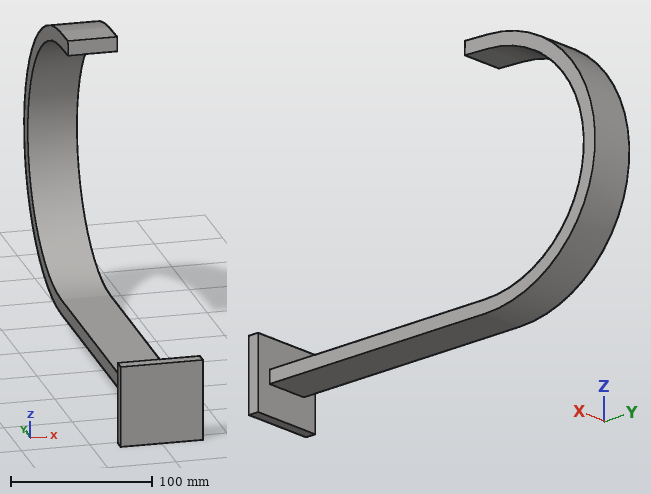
import cadquery as cq
import math

plate_side = 60.0
plate_thickness = 9.0

bar_width = 36.0
bar_thickness = 11.0
overall_depth = 321.3
overall_height = 236.0
tip_length = 23.0
tip_rise_angle = 2.0

leg_bottom = -bar_thickness / 2
rise = math.radians(tip_rise_angle)
tip_corner_z = overall_height - plate_side / 2
outer_radius = (tip_corner_z - leg_bottom - tip_length * math.sin(rise)) / (1 + math.cos(rise))
inner_radius = outer_radius - bar_thickness
bend_y = overall_depth - outer_radius
bend_z = leg_bottom + outer_radius


def bend_end(radius):
    """Point where the bend at this radius runs tangent into the tip."""
    return (bend_y + radius * math.sin(rise), bend_z + radius * math.cos(rise))


def tip_end(radius):
    """End of the tip edge that continues the bend at this radius."""
    y, z = bend_end(radius)
    return (y - tip_length * math.cos(rise), z + tip_length * math.sin(rise))


def make_plate():
    """Flat square plate standing in the XZ plane."""
    return cq.Workplane("XY").box(
        plate_side, plate_thickness, plate_side, centered=(True, False, True)
    )


def make_hook():
    """Flat bar with a straight leg, a nearly half-circle bend and a short straight tip."""
    return (
        cq.Workplane("YZ")
        .moveTo(plate_thickness, leg_bottom)
        .lineTo(bend_y, leg_bottom)
        .threePointArc((bend_y + outer_radius, bend_z), bend_end(outer_radius))
        .lineTo(*tip_end(outer_radius))
        .lineTo(*tip_end(inner_radius))
        .lineTo(*bend_end(inner_radius))
        .threePointArc((bend_y + inner_radius, bend_z), (bend_y, bend_z - inner_radius))
        .lineTo(plate_thickness, bend_z - inner_radius)
        .close()
        .extrude(bar_width / 2, both=True)
    )


plate = make_plate()
hook = make_hook()

result = cq.Compound.makeCompound([plate.val(), hook.val()])